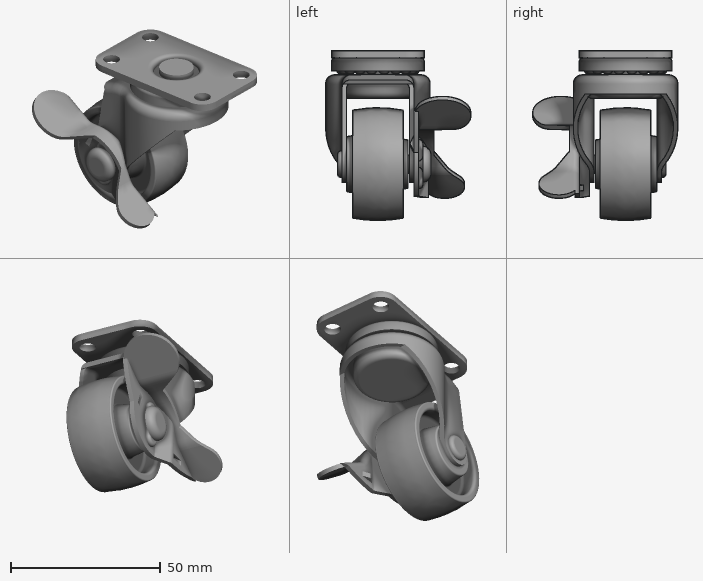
import cadquery as cq
import math


plate_length = 51.0
plate_width = 31.0
plate_thickness = 2.5
plate_corner_radius = 6.0
screw_hole_diameter = 5.6
screw_spacing_x = 40.0
screw_spacing_y = 20.0

race_radius = 15.55
race_bottom_z = -6.8
race_edge_radius = 1.25
dish_depth = 2.05
dish_floor_radius = 7.6
dish_lip_radius = 1.95

ball_count = 18
ball_radius = 1.9
ball_circle_radius = 12.1
ball_bottom_z = -8.0

pin_radius = 5.8
pin_flange_radius = 12.9
pin_flange_bottom_z = -16.1
pin_flange_edge_radius = 1.9

fork_top_z = -8.1
fork_sheet = 1.5
fork_crown_radius = 17.5
fork_half_width = 12.0
fork_edge_radius = 3.0
fork_neck_radius = 4.5
fork_skirt_bottom_z = -14.6
fork_skirt_slope_start_x = 11.0
fork_axle_end_radius = 6.1
tongue_bend_x = -16.0
tongue_bend_radius = 9.0
tongue_drop_angle = 18.0
tongue_top_corner = (-22.75, -9.7)
tongue_bottom_corner = (-22.0, -11.2)
leg_top_x = -21.5

axle_x = -20.0
axle_z = -38.0
axle_radius = 3.1
far_head_radius = 4.5
far_head_height = 1.55
far_head_edge_radius = 1.4
near_head_radius = 6.0
near_head_height = 2.7
near_head_edge_radius = 2.68
key_length = 16.4
key_width = 5.8
key_height = 1.4
key_edge_radius = 1.1

wheel_radius = 18.9
wheel_side_radius = 18.2
wheel_width = 17.0
wheel_edge_radius = 0.5
wheel_shoulder = 0.6
web_thickness = 6.5
recess_radius = 15.3
recess_mouth_fillet = 1.05
recess_floor_fillet = 1.0
far_hub_radius = 9.25
far_hub_edge_radius = 0.6
near_hub_radius = 8.1
hub_taper = 1.2
near_hub_end_y = -10.1
near_hub_edge_radius = 0.5
hub_root_fillet = 0.6

lever_sheet = 1.6
joggle_offset = 3.4
joggle_start = 4.5
joggle_end = 10.1
joggle_tilt = 4.8
joggle_bend_radii = [0.8 + lever_sheet, 0.8]
tread_sheet = 1.5
tread_bend_radius = 2.0
tread_web_y = -18.8

tread_slope = 34.7
tread_reach = 25.0
release_bend = (-6.8, 13.0)
hump_corner = (8.05, 13.0)
brake_bend = (14.6, -1.75)
tread_bend_radii = [4.8, 17.0, 4.8]
release_pad_u = -13.0
release_pad_y = -21.6
release_pad_radius = 9.5
brake_pad_u = 21.4
brake_pad_y = -22.3
brake_pad_radius = 6.7
web_release_corner = (0.3, 12.7)
web_brake_corner = (12.05, 4.6)
tooth_length = 5.4
tooth_width = 1.9
tooth_height = 1.3
upper_tooth = (-6.65, 6.6, 69.0)
lower_tooth = (12.95, -7.95, -4.0)
plate_left_u = -16.1
plate_left_bottom = (plate_left_u, 17.3)
plate_left_middle = (-14.0, 9.9)
plate_shoulder = (-11.1, 3.8)
plate_round_middle = (-7.7, -6.8)
plate_joggle_foot = (3.1, -10.7)
plate_joggle_toe = (8.2, -11.2)
plate_foot_middle = (16.0, -11.05)
plate_foot_end = (23.3, -9.9)

far = 100.0
pick_margin = 0.1

arm_inner_y = fork_half_width - fork_sheet
lever_back_y = -fork_half_width
lever_front_y = lever_back_y - lever_sheet
key_outer_y = lever_front_y - key_height
pin_flange_top_z = fork_top_z - fork_sheet
tread_run = (math.cos(math.radians(tread_slope)), -math.sin(math.radians(tread_slope)))
tread_path = [
    (release_bend[0] - tread_reach * tread_run[0], release_bend[1] - tread_reach * tread_run[1]),
    release_bend,
    hump_corner,
    brake_bend,
    (brake_bend[0] + tread_reach * tread_run[0], brake_bend[1] + tread_reach * tread_run[1]),
]


def turn_at(before, corner, after):
    """Signed turning angle of a path at a corner; positive turns left."""
    heading_in = math.atan2(corner[1] - before[1], corner[0] - before[0])
    heading_out = math.atan2(after[1] - corner[1], after[0] - corner[0])
    return (heading_out - heading_in + math.pi) % (2 * math.pi) - math.pi


def toward(start, end, distance):
    """The point at a distance from start on the way to end."""
    ratio = distance / math.dist(start, end)
    return (start[0] + ratio * (end[0] - start[0]), start[1] + ratio * (end[1] - start[1]))


def trace_rounded(sketch, points, radii):
    """Draw on from points[0] to the last point, with an arc at each inner corner that has a radius."""
    for before, corner, after, radius in zip(points, points[1:], points[2:], radii):
        if radius == 0:
            sketch = sketch.lineTo(*corner)
            continue
        half_turn = abs(turn_at(before, corner, after)) / 2
        arc_start = toward(corner, before, radius * math.tan(half_turn))
        arc_end = toward(corner, after, radius * math.tan(half_turn))
        chord_middle = toward(arc_start, arc_end, math.dist(arc_start, arc_end) / 2)
        arc_middle = toward(corner, chord_middle, radius / math.cos(half_turn) - radius)
        sketch = sketch.lineTo(*arc_start).threePointArc(arc_middle, arc_end)
    return sketch.lineTo(*points[-1])


def offset_right(points, distance):
    """A polyline moved to its right by a distance, with mitred corners."""
    headings = [math.atan2(b[1] - a[1], b[0] - a[0]) for a, b in zip(points, points[1:])]
    moved = []
    for point, before, after in zip(points, headings[:1] + headings, headings + headings[-1:]):
        heading = (before + after) / 2
        reach = distance / math.cos((after - before) / 2)
        moved.append((point[0] + reach * math.sin(heading), point[1] - reach * math.cos(heading)))
    return moved


def offset_radii(points, radii, distance):
    """Bend radii on the right-hand side of a strip, from those on its left-hand side."""
    corners = zip(points, points[1:], points[2:], radii)
    return [r + math.copysign(distance, turn_at(a, b, c)) for a, b, c, r in corners]


def bent_strip(plane, points, radii, thickness):
    """Closed outline of a bent strip that lies to the right of the given path."""
    right_points = offset_right(points, thickness)
    right_radii = offset_radii(points, radii, thickness)
    sketch = trace_rounded(plane.moveTo(*points[0]), points, radii)
    sketch = sketch.lineTo(*right_points[-1])
    return trace_rounded(sketch, right_points[::-1], right_radii[::-1]).close()


def tangent_point(point, centre, radius, side):
    """Where a line from a point touches a circle; side is +1 or -1."""
    to_point = math.atan2(point[1] - centre[1], point[0] - centre[0])
    opening = side * math.acos(radius / math.dist(point, centre))
    angle = to_point + opening
    return (centre[0] + radius * math.cos(angle), centre[1] + radius * math.sin(angle))


def axle_section():
    """Half-section plane of the axle line: local x is the radius, local y is Y."""
    return cq.Workplane(cq.Plane(origin=(axle_x, 0, axle_z), xDir=(0, 0, -1), normal=(1, 0, 0)))


def cylinder_y(radius, y_start, y_end):
    """Cylinder on the axle line between two Y positions."""
    disc = cq.Workplane("XZ", origin=(axle_x, y_start, axle_z)).circle(radius)
    return disc.extrude(y_start - y_end)


def make_plate():
    plate = (
        cq.Workplane("XY")
        .rect(plate_length, plate_width)
        .extrude(-plate_thickness)
        .edges("|Z")
        .fillet(plate_corner_radius)
    )
    screw_holes = (
        cq.Workplane("XY")
        .rect(screw_spacing_x, screw_spacing_y, forConstruction=True)
        .vertices()
        .circle(screw_hole_diameter / 2)
        .extrude(-plate_thickness)
    )
    race = (
        cq.Workplane("XY", origin=(0, 0, race_bottom_z))
        .circle(race_radius)
        .extrude(-plate_thickness - race_bottom_z)
        .faces(">Z")
        .edges()
        .fillet(race_edge_radius)
    )
    plate = plate.cut(screw_holes).union(race)

    dish = cq.Workplane("XY").circle(dish_floor_radius).extrude(-dish_depth)
    plate = plate.cut(dish)
    lip_reach = dish_floor_radius + pick_margin
    lip = cq.selectors.BoxSelector(
        (-lip_reach, -lip_reach, -pick_margin),
        (lip_reach, lip_reach, pick_margin),
    )
    plate = plate.edges(lip).fillet(dish_lip_radius)

    balls = (
        cq.Workplane("XY", origin=(0, 0, ball_bottom_z + ball_radius))
        .polarArray(ball_circle_radius, -90, 360, ball_count)
        .sphere(ball_radius)
    )
    pin_bore = cq.Workplane("XY").circle(pin_radius).extrude(race_bottom_z)
    return plate.union(balls).cut(pin_bore)


def make_king_pin():
    flange = (
        cq.Workplane("XY", origin=(0, 0, pin_flange_bottom_z))
        .circle(pin_flange_radius)
        .extrude(pin_flange_top_z - pin_flange_bottom_z)
        .faces("<Z")
        .edges()
        .fillet(pin_flange_edge_radius)
    )
    shaft = cq.Workplane("XY").circle(pin_radius).extrude(pin_flange_top_z)
    return flange.union(shaft)


def fork_envelope(inset):
    """Round crown that necks down to a flat-sided tongue, lying inset from the outer skin."""
    crown = fork_crown_radius - inset
    half_width = fork_half_width - inset
    neck = fork_neck_radius + inset
    bend = tongue_bend_radius - inset
    top_z = fork_top_z - inset

    neck_y = half_width + neck
    neck_x = -math.sqrt((crown + neck) ** 2 - neck_y**2)
    crown_touch = toward((0, 0), (neck_x, neck_y), crown)
    neck_middle_angle = (math.atan2(-neck_y, -neck_x) - math.pi / 2) / 2
    neck_middle = (
        neck_x + neck * math.cos(neck_middle_angle),
        neck_y + neck * math.sin(neck_middle_angle),
    )
    plan = (
        cq.Workplane("XY")
        .moveTo(-far, -half_width)
        .lineTo(neck_x, -half_width)
        .threePointArc((neck_middle[0], -neck_middle[1]), (crown_touch[0], -crown_touch[1]))
        .threePointArc((crown, 0), crown_touch)
        .threePointArc(neck_middle, (neck_x, half_width))
        .lineTo(-far, half_width)
        .close()
        .extrude(-far)
    )
    drop = math.radians(tongue_drop_angle)
    bend_end = (tongue_bend_x - bend * math.sin(drop), top_z - bend * (1 - math.cos(drop)))
    bend_middle = (
        tongue_bend_x - bend * math.sin(drop / 2),
        top_z - bend * (1 - math.cos(drop / 2)),
    )
    below_top = (
        cq.Workplane("XZ", origin=(0, far, 0))
        .moveTo(far, top_z)
        .lineTo(tongue_bend_x, top_z)
        .threePointArc(bend_middle, bend_end)
        .lineTo(-far, bend_end[1] - (bend_end[0] + far) * math.tan(drop))
        .lineTo(-far, -far)
        .lineTo(far, -far)
        .close()
        .extrude(2 * far)
    )
    envelope = plan.intersect(below_top)
    return envelope.faces(">Z").edges("%CIRCLE").fillet(fork_edge_radius - inset)


def fork_side_outline():
    """Side profile of the fork: tongue end, leg down to the axle and sloped skirt."""
    axle = (axle_x, axle_z)
    skirt_corner = (fork_skirt_slope_start_x, fork_skirt_bottom_z)
    leg_top = (leg_top_x, tongue_bottom_corner[1])
    front_touch = tangent_point(leg_top, axle, fork_axle_end_radius, 1)
    rear_touch = tangent_point(skirt_corner, axle, fork_axle_end_radius, -1)
    tongue_over = toward(tongue_bottom_corner, tongue_top_corner, far)
    return (
        cq.Workplane("XZ", origin=(0, far, 0))
        .moveTo(*tongue_over)
        .lineTo(*tongue_bottom_corner)
        .lineTo(*leg_top)
        .lineTo(*front_touch)
        .threePointArc((axle_x, axle_z - fork_axle_end_radius), rear_touch)
        .lineTo(*skirt_corner)
        .lineTo(far, fork_skirt_bottom_z)
        .lineTo(far, tongue_over[1])
        .close()
        .extrude(2 * far)
    )


def make_fork():
    shell = fork_envelope(0).cut(fork_envelope(fork_sheet))
    pin_bore = cq.Workplane("XY").circle(pin_radius).extrude(pin_flange_top_z)
    axle_bore = cylinder_y(axle_radius, far, -far)
    return shell.intersect(fork_side_outline()).cut(pin_bore).cut(axle_bore)


def make_wheel():
    half_wheel = wheel_width / 2
    half_web = web_thickness / 2
    shoulder_y = half_wheel - wheel_shoulder
    near_side = [
        (axle_radius, near_hub_end_y),
        (near_hub_radius, near_hub_end_y),
        (near_hub_radius + hub_taper, -half_web),
        (recess_radius, -half_web),
        (recess_radius, -half_wheel),
        (wheel_side_radius, -half_wheel),
        (wheel_side_radius, -shoulder_y),
    ]
    recess_radii = [hub_root_fillet, recess_floor_fillet, recess_mouth_fillet]
    near_radii = [near_hub_edge_radius] + recess_radii + [wheel_edge_radius]
    far_side = [
        (wheel_side_radius, shoulder_y),
        (wheel_side_radius, half_wheel),
        (recess_radius, half_wheel),
        (recess_radius, half_web),
        (far_hub_radius + hub_taper, half_web),
        (far_hub_radius, arm_inner_y),
        (axle_radius, arm_inner_y),
    ]
    far_radii = [wheel_edge_radius] + recess_radii[::-1] + [far_hub_edge_radius]
    profile = axle_section().moveTo(*near_side[0])
    profile = trace_rounded(profile, near_side, near_radii)
    profile = profile.threePointArc((wheel_radius, 0), far_side[0])
    profile = trace_rounded(profile, far_side, far_radii)
    return profile.close().revolve(360, (0, 0), (0, 1))


def make_axle():
    near_end_y = key_outer_y - near_head_height
    far_end_y = fork_half_width + far_head_height
    points = [
        (0, near_end_y),
        (near_head_radius, near_end_y),
        (near_head_radius, key_outer_y),
        (axle_radius, key_outer_y),
        (axle_radius, fork_half_width),
        (far_head_radius, fork_half_width),
        (far_head_radius, far_end_y),
        (0, far_end_y),
    ]
    radii = [near_head_edge_radius, 0, 0, 0, 0, far_head_edge_radius]
    profile = axle_section().moveTo(*points[0])
    rivet = trace_rounded(profile, points, radii).close().revolve(360, (0, 0), (0, 1))
    key = (
        cq.Workplane("XZ", origin=(axle_x, lever_front_y, axle_z))
        .slot2D(key_length, key_width, 90)
        .extrude(key_height)
        .faces("<Y")
        .edges()
        .fillet(key_edge_radius)
    )
    return rivet.union(key)


def joggle_path():
    """Plan path of the plate's back face, stepping outward across the joggle."""
    step_y = lever_back_y - joggle_offset
    return [
        (-far, lever_back_y),
        (joggle_start, lever_back_y),
        (joggle_end, step_y),
        (far, step_y),
    ]


def place_joggle(shape):
    """Tilt a shape built along the joggle about the axle line, and move it to the axle."""
    return shape.rotate((0, 0, 0), (0, 1, 0), joggle_tilt).translate((axle_x, 0, axle_z))


def lever_outline():
    """Side outline of the plate, running up past the tread."""
    return (
        cq.Workplane("XZ", origin=(axle_x, 0, axle_z))
        .moveTo(plate_left_u, far)
        .lineTo(*plate_left_bottom)
        .threePointArc(plate_left_middle, plate_shoulder)
        .threePointArc(plate_round_middle, plate_joggle_foot)
        .lineTo(*plate_joggle_toe)
        .threePointArc(plate_foot_middle, plate_foot_end)
        .lineTo(far, plate_foot_end[1])
        .lineTo(far, far)
        .close()
        .extrude(far)
    )


def along_tread(point):
    """Distance of a (u, w) point from the axle, measured along the slope of the pads."""
    return point[0] * tread_run[0] + point[1] * tread_run[1]


def tread_blank():
    """Outline of the tread, cut square to the two parallel pads through the whole strip."""
    release_s = along_tread(release_bend) + (release_pad_u - release_bend[0]) / tread_run[0]
    brake_s = along_tread(brake_bend) + (brake_pad_u - brake_bend[0]) / tread_run[0]
    release_corner = (along_tread(web_release_corner), tread_web_y)
    brake_corner = (along_tread(web_brake_corner), tread_web_y)
    release_centre = (release_s, release_pad_y)
    brake_centre = (brake_s, brake_pad_y)
    slope_plane = cq.Plane(
        origin=(axle_x, 0, axle_z),
        xDir=(tread_run[0], 0, tread_run[1]),
        normal=(-tread_run[1], 0, tread_run[0]),
    )
    web = (
        cq.Workplane(slope_plane)
        .moveTo(release_s, lever_back_y)
        .lineTo(*release_centre)
        .lineTo(*tangent_point(release_corner, release_centre, release_pad_radius, -1))
        .lineTo(*release_corner)
        .lineTo(*brake_corner)
        .lineTo(*tangent_point(brake_corner, brake_centre, brake_pad_radius, 1))
        .lineTo(*brake_centre)
        .lineTo(brake_s, lever_back_y)
        .close()
        .extrude(far, both=True)
    )
    release_pad = cq.Workplane(slope_plane).center(*release_centre).circle(release_pad_radius)
    brake_pad = cq.Workplane(slope_plane).center(*brake_centre).circle(brake_pad_radius)
    return web.union(release_pad.extrude(far, both=True)).union(brake_pad.extrude(far, both=True))


def lever_block():
    """Everything under the tread's top and in front of the plate's back, with a round edge between."""
    path = joggle_path()
    front_space = trace_rounded(cq.Workplane("XY").moveTo(*path[0]), path, joggle_bend_radii)
    front_space = front_space.lineTo(far, -far).lineTo(-far, -far).close().extrude(far, both=True)
    under_tread = cq.Workplane("XZ", origin=(axle_x, 0, axle_z)).moveTo(*tread_path[0])
    under_tread = trace_rounded(under_tread, tread_path, tread_bend_radii)
    under_tread = under_tread.lineTo(tread_path[-1][0], -far).lineTo(tread_path[0][0], -far)
    block = under_tread.close().extrude(far).intersect(place_joggle(front_space))
    edge = cq.selectors.BoxSelector(
        (axle_x - far, lever_back_y - pick_margin, axle_z + release_bend[1]),
        (axle_x + release_bend[0], lever_back_y + pick_margin, axle_z + far),
    )
    return block.edges(edge).fillet(tread_bend_radius)


def tooth_prism(u, w, angle, back_y):
    """Shallow V ridge whose base lies at back_y and whose crest points toward the wheel."""
    ridge = (
        cq.Workplane("XY")
        .polyline([(-tooth_length / 2, 0), (0, tooth_height), (tooth_length / 2, 0)])
        .close()
        .extrude(tooth_width / 2, both=True)
    )
    return ridge.rotate((0, 0, 0), (0, 1, 0), -angle).translate((axle_x + u, back_y, axle_z + w))


def make_lever():
    sheet_outline = bent_strip(cq.Workplane("XY"), joggle_path(), joggle_bend_radii, lever_sheet)
    sheet = place_joggle(sheet_outline.extrude(far, both=True))
    strip_plane = cq.Workplane("XZ", origin=(axle_x, 0, axle_z))
    strip = bent_strip(strip_plane, tread_path, tread_bend_radii, tread_sheet).extrude(far)

    block = lever_block()
    plate = block.intersect(lever_outline()).intersect(sheet)
    tread = block.intersect(strip).intersect(tread_blank())
    lever = plate.union(tread)
    for u, w, angle in (upper_tooth, lower_tooth):
        step = joggle_offset if u > joggle_end else 0
        lever = lever.union(tooth_prism(u, w, angle, lever_back_y - step))
        lever = lever.cut(tooth_prism(u, w, angle, lever_front_y - step))
    return lever.cut(cylinder_y(axle_radius, far, -far))


plate = make_plate()
king_pin = make_king_pin()
fork = make_fork()
wheel = make_wheel()
axle = make_axle()
lever = make_lever()

bodies = [plate, king_pin, fork, wheel, axle, lever]
result = cq.Compound.makeCompound([body.solids().val() for body in bodies])